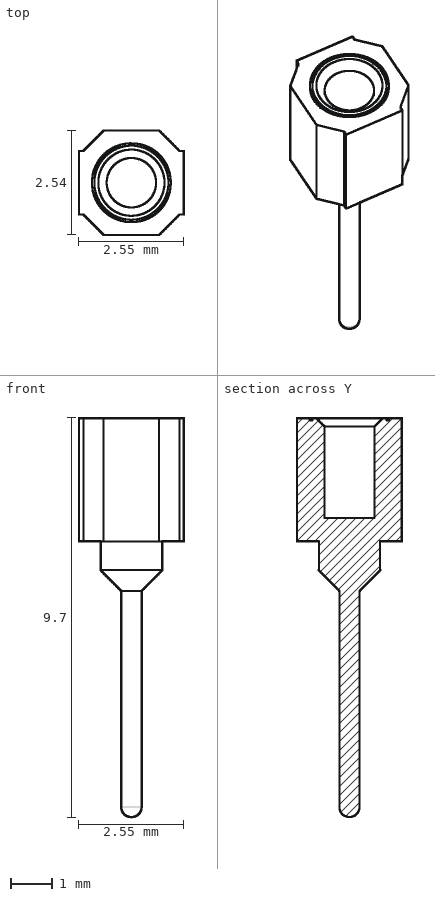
import cadquery as cq
import math

total_length = 9.7

housing_length_x = 2.55
housing_length_y = 2.54
housing_height = 3.0
end_flat_width = 1.35
side_flat_width = 1.55
side_step = 0.11

collar_diameter = 1.5
collar_height = 0.7
pin_diameter = 0.5

bore_diameter = 1.2
bore_depth = 2.425
lead_in_diameter = 1.61
groove_inner_diameter = 1.8
groove_outer_diameter = 1.92
groove_depth = 0.05

collar_top = total_length - housing_height
cone_top = collar_top - collar_height
cone_height = (collar_diameter - pin_diameter) / 2
cone_bottom = cone_top - cone_height
pin_radius = pin_diameter / 2


def make_housing():
    """Block with four bevelled corners and side flats that step out past the bevels."""
    half_x = housing_length_x / 2
    half_y = housing_length_y / 2
    bevelled_block = (
        cq.Workplane("XY")
        .workplane(offset=collar_top)
        .polyline([
            (end_flat_width / 2, half_y),
            (half_x - side_step, side_flat_width / 2),
            (half_x - side_step, -side_flat_width / 2),
            (end_flat_width / 2, -half_y),
            (-end_flat_width / 2, -half_y),
            (-half_x + side_step, -side_flat_width / 2),
            (-half_x + side_step, side_flat_width / 2),
            (-end_flat_width / 2, half_y),
        ])
        .close()
        .extrude(housing_height)
    )
    side_block = (
        cq.Workplane("XY")
        .workplane(offset=collar_top)
        .rect(housing_length_x, side_flat_width)
        .extrude(housing_height)
    )
    return bevelled_block.union(side_block)


def make_stem():
    """Revolved collar, cone and round-tipped pin."""
    collar_radius = collar_diameter / 2
    tip_offset = pin_radius * math.sin(math.radians(45))
    tip_arc_middle = (tip_offset, pin_radius - tip_offset)
    return (
        cq.Workplane("XZ")
        .moveTo(0, 0)
        .threePointArc(tip_arc_middle, (pin_radius, pin_radius))
        .lineTo(pin_radius, cone_bottom)
        .lineTo(collar_radius, cone_top)
        .lineTo(collar_radius, collar_top)
        .lineTo(0, collar_top)
        .close()
        .revolve(360, (0, 0, 0), (0, 1, 0))
    )


def make_socket_cut():
    """Blind bore with a 45 degree lead-in."""
    bore_radius = bore_diameter / 2
    lead_in_radius = lead_in_diameter / 2
    lead_in_depth = lead_in_radius - bore_radius
    return (
        cq.Workplane("XZ")
        .moveTo(0, total_length - bore_depth)
        .lineTo(bore_radius, total_length - bore_depth)
        .lineTo(bore_radius, total_length - lead_in_depth)
        .lineTo(lead_in_radius, total_length)
        .lineTo(0, total_length)
        .close()
        .revolve(360, (0, 0, 0), (0, 1, 0))
    )


def make_groove_cut():
    """Shallow ring groove around the socket mouth."""
    return (
        cq.Workplane("XY")
        .workplane(offset=total_length - groove_depth)
        .circle(groove_outer_diameter / 2)
        .circle(groove_inner_diameter / 2)
        .extrude(groove_depth)
    )


result = make_housing().union(make_stem()).cut(make_socket_cut()).cut(make_groove_cut())